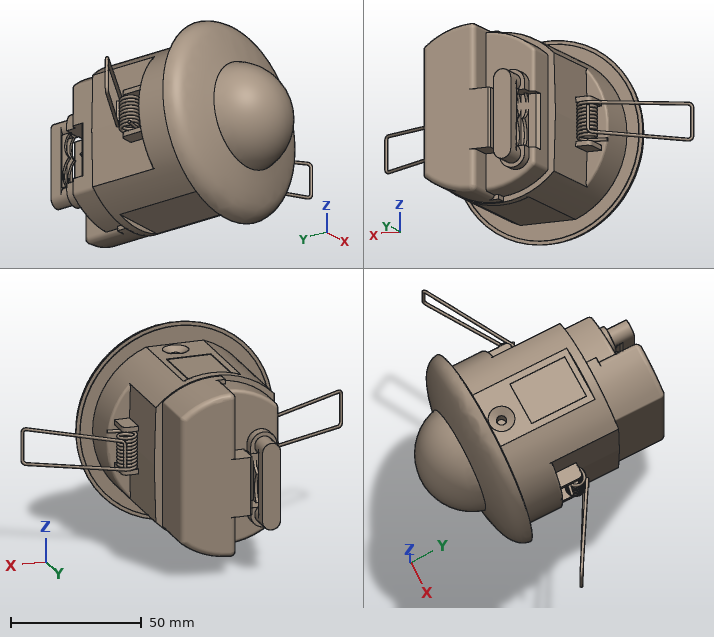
import cadquery as cq
import math


EMBED = 1.3

COVER_RADIUS = 40.0
COVER_DEPTH = 10.5
COVER_CURVE = ((38.7, -3.4), (33.5, -7.2))
COVER_LIP_RADIUS = 77.0 / 2
COVER_LIP = 0.4
LENS_RADIUS = 21.5
LENS_TIP = 27.0

DRUM_RADIUS = 67.0 / 2
DRUM_LENGTH = 45.6
RIM_START = 42.0
FLAT_HEIGHT = 31.4
SHELF = 17.0
SHELF_FILLET = 1.0
SIDE_RIDGE = 24.7
SIDE_EDGE = 24.0
SIDE_EDGE_HEIGHT = 23.3

LABEL_WIDTH = 17.9
LABEL_LENGTH = 23.7
LABEL_CENTER = 27.8
LABEL_DEPTH = 0.3
SCREW_X = 2.0
SCREW_Y = 6.7
SCREW_HOLE = 3.8
SCREW_HOLE_DEPTH = 6.5
DISH_DIAMETER = 10.2
DISH_ANGLE = 120

BRACKET_OUT = 30.6
BRACKET_LENGTH = 10.1
BRACKET_HALF_WIDTH = 9.7
BRACKET_EAR = 2.0
BRACKET_FILLET = 2.0

WIRE = 1.2
COIL_X = -28.2
COIL_Y = 24.8
COIL_RADIUS = 3.4
COIL_BOTTOM = -6.4
COIL_TOP = 7.0
COIL_FULL_TURNS = 9
TAIL_LENGTH = 7.2
TAIL_ANGLE = -79
LOOP_END_X = -(65.4 - WIRE / 2)
LOOP_END_Y = 8.1
LOOP_CORNER_Z = -7.2
LOOP_RETURN_Z = -4.7
HOOK_RADIUS = 4.5
HOOK_TOP = 5.8
LOOP_BEND = 1.6

LOW_RADIUS = 31.2
LOW_CORNER = 2.0
LOW_END = 57.7
LOW_LEFT = -21.6
LOW_FILLET = 1.5
TALL_RADIUS = 33.1
TALL_END = 67.6
TALL_LEFT = -0.9
TALL_RIGHT = 21.3
TALL_LEFT_CORNER = 2.1
TALL_RIGHT_CORNER = 1.0
TALL_FILLET = 2.2
FOOT_END = 50.0
FOOT_LEFT = -2.6
SIDE_BOX_LEFT = -7.3
SIDE_BOX_HALF_WIDTH = 11.8
SIDE_BOX_CHAMFER = 0.8

CLAMP_X = -14.0
CLAMP_Z = -5.0
CLAMP_SPACING = 27.8
CLAMP_WIDTH = 7.3
CLAMP_TOP = 70.6
CLAMP_BAR = 5.0
COLLAR_WIDTH = 10.6
COLLAR_TOP = 61.7
CABLE_NECK_Z = -4.2
UPPER_CABLE_Z = 0.7
LOWER_CABLE_Z = -10.7
OPENING_BAR_SIDE = (62.0, 64.3, 62.4, 65.2, 63.8)
OPENING_BLOCK_SIDE = (55.4, 53.5, 57.0, 54.9, 56.7)
NOTCH_TOP = 6.0
NOTCH_BOTTOM = -16.0
NOTCH_FLOOR = 52.3
NOTCH_BEVEL = 1.3
SADDLE_THICKNESS = 1.2
SADDLE_SPACING = 3.3
SADDLE_INSET = 0.5


def section(start):
    """Workplane across the housing axis; extrude with a negative length to go toward +Y."""
    return cq.Workplane("XZ", origin=(0, start, 0))


def disc(radius, start, end):
    return section(start).circle(radius).extrude(start - end)


def box(x0, x1, y0, y1, z0, z1):
    return cq.Workplane("XY").box(x1 - x0, y1 - y0, z1 - z0, centered=False).translate((x0, y0, z0))


def trimmed_disc(radius, left, right, start, end):
    """Disc slice kept between two planes of constant X."""
    return disc(radius, start, end).intersect(box(left, right, start, end, -radius, radius))


def make_cover():
    profile = (
        cq.Workplane("XY")
        .moveTo(0, COVER_LIP)
        .lineTo(COVER_LIP_RADIUS, COVER_LIP)
        .lineTo(COVER_LIP_RADIUS, 0)
        .lineTo(COVER_RADIUS, 0)
        .spline([*COVER_CURVE, (LENS_RADIUS, -COVER_DEPTH)], includeCurrent=True)
        .lineTo(0, -COVER_DEPTH)
        .close()
    )
    cover = profile.revolve(360, (0, 0, 0), (0, 1, 0))
    lens_height = LENS_TIP - COVER_DEPTH
    sphere_radius = (LENS_RADIUS**2 + lens_height**2) / (2 * lens_height)
    lens = cq.Workplane("XY").sphere(sphere_radius).translate((0, sphere_radius - LENS_TIP, 0))
    front = box(-COVER_RADIUS, COVER_RADIUS, -LENS_TIP, -COVER_DEPTH / 2, -COVER_RADIUS, COVER_RADIUS)
    return cover.union(lens.intersect(front))


def make_drum():
    collar = disc(DRUM_RADIUS, 0, SHELF).faces(">Y").edges().fillet(SHELF_FILLET)
    slope = (SIDE_RIDGE - SIDE_EDGE) / SIDE_EDGE_HEIGHT
    tip = SIDE_RIDGE - slope * DRUM_RADIUS
    outline = [
        (SIDE_RIDGE, 0),
        (tip, DRUM_RADIUS),
        (-tip, DRUM_RADIUS),
        (-SIDE_RIDGE, 0),
        (-tip, -DRUM_RADIUS),
        (tip, -DRUM_RADIUS),
    ]
    between_ridges = section(0).polyline(outline).close().extrude(-DRUM_LENGTH)
    drum = disc(DRUM_RADIUS, 0, DRUM_LENGTH).intersect(between_ridges).union(collar)
    for low, high in ((FLAT_HEIGHT, DRUM_RADIUS), (-DRUM_RADIUS, -FLAT_HEIGHT)):
        drum = drum.cut(box(-DRUM_RADIUS, DRUM_RADIUS, COVER_LIP, RIM_START, low, high))
    return drum


def cut_label_and_screw(body):
    flat = cq.Workplane("XY", origin=(0, 0, FLAT_HEIGHT))
    label = flat.center(0, LABEL_CENTER).rect(LABEL_WIDTH, LABEL_LENGTH).extrude(-LABEL_DEPTH)
    hole = flat.center(SCREW_X, SCREW_Y).circle(SCREW_HOLE / 2).extrude(-SCREW_HOLE_DEPTH)
    dish_depth = (DISH_DIAMETER - SCREW_HOLE) / 2 / math.tan(math.radians(DISH_ANGLE / 2))
    dish = cq.Workplane(
        cq.Solid.makeCone(
            DISH_DIAMETER / 2,
            SCREW_HOLE / 2,
            dish_depth,
            pnt=cq.Vector(SCREW_X, SCREW_Y, FLAT_HEIGHT),
            dir=cq.Vector(0, 0, -1),
        )
    )
    return body.cut(label).cut(hole).cut(dish)


def make_bracket():
    """Pair of ears on the -X side that flank the spring coil."""
    inner = -SIDE_EDGE + EMBED
    top = SHELF + BRACKET_LENGTH
    bracket = box(-BRACKET_OUT, inner, SHELF - EMBED, top, -BRACKET_HALF_WIDTH, BRACKET_HALF_WIDTH)
    bracket = bracket.edges("|Z and <X and >Y").fillet(BRACKET_FILLET)
    gap = BRACKET_HALF_WIDTH - BRACKET_EAR
    return bracket.cut(box(-BRACKET_OUT, inner, SHELF - EMBED, top, -gap, gap))


def bend(before, corner, after):
    """Start, middle and end of the arc that rounds a wire corner."""
    incoming = (before - corner).normalized()
    outgoing = (after - corner).normalized()
    half_angle = incoming.getAngle(outgoing) / 2
    tangent_length = LOOP_BEND / math.tan(half_angle)
    middle_distance = LOOP_BEND / math.sin(half_angle) - LOOP_BEND
    middle = corner + (incoming + outgoing).normalized() * middle_distance
    return corner + incoming * tangent_length, middle, corner + outgoing * tangent_length


def bent_path(corners):
    """Straight runs between the given corners, with every inner corner rounded."""
    edges = []
    start = corners[0]
    for before, corner, after in zip(corners, corners[1:], corners[2:]):
        arc = bend(before, corner, after)
        edges.append(cq.Edge.makeLine(start, arc[0]))
        edges.append(cq.Edge.makeThreePointArc(*arc))
        start = arc[2]
    edges.append(cq.Edge.makeLine(start, corners[-1]))
    return cq.Wire.assembleEdges(edges)


def round_wire(corners):
    start = corners[0]
    plane = cq.Plane(origin=start.toTuple(), normal=(corners[1] - start).toTuple())
    return cq.Workplane(plane).circle(WIRE / 2).sweep(cq.Workplane(bent_path(corners)))


def around_coil(radius, angle, z):
    return cq.Vector(COIL_X + radius * math.cos(angle), COIL_Y + radius * math.sin(angle), z)


def make_spring():
    """Spring on the -X side: a tail, a coil along Z and a loop whose free end hooks over the coil."""
    to_end_x = LOOP_END_X - COIL_X
    to_end_y = LOOP_END_Y - COIL_Y
    reach = math.hypot(to_end_x, to_end_y)
    tail_angle = math.radians(TAIL_ANGLE)
    loop_angle = math.atan2(to_end_y, to_end_x) - math.acos(COIL_RADIUS / reach) + 2 * math.pi
    turns = COIL_FULL_TURNS + (loop_angle - tail_angle) / (2 * math.pi)
    height = COIL_TOP - COIL_BOTTOM

    helix = cq.Wire.makeHelix(height / turns, height, COIL_RADIUS)
    coil = cq.Workplane("XZ", origin=(COIL_RADIUS, 0, 0)).circle(WIRE / 2)
    coil = coil.sweep(cq.Workplane(helix), isFrenet=True)
    coil = coil.rotate((0, 0, 0), (0, 0, 1), TAIL_ANGLE)
    coil = coil.translate((COIL_X, COIL_Y, COIL_BOTTOM))

    tail_start = around_coil(COIL_RADIUS, tail_angle, COIL_BOTTOM)
    tail_direction = cq.Vector(math.sin(tail_angle), -math.cos(tail_angle), 0)
    tail = round_wire([tail_start, tail_start + tail_direction * TAIL_LENGTH])

    loop = round_wire(
        [
            around_coil(COIL_RADIUS, loop_angle, COIL_TOP),
            cq.Vector(LOOP_END_X, LOOP_END_Y, COIL_TOP),
            cq.Vector(LOOP_END_X, LOOP_END_Y, LOOP_CORNER_Z),
            around_coil(HOOK_RADIUS, loop_angle, LOOP_RETURN_Z),
            around_coil(HOOK_RADIUS, loop_angle, HOOK_TOP),
        ]
    )
    return coil.union(tail, clean=False).union(loop, clean=False)


def make_rear_blocks():
    low = trimmed_disc(LOW_RADIUS, LOW_LEFT, TALL_RIGHT - TALL_FILLET, DRUM_LENGTH, LOW_END)
    low = low.edges("|Y and <X").fillet(LOW_CORNER)
    low = low.faces(">Y").edges().fillet(LOW_FILLET)
    tall = trimmed_disc(TALL_RADIUS, TALL_LEFT, TALL_RIGHT, DRUM_LENGTH, TALL_END)
    tall = tall.edges("|Y and <X").fillet(TALL_LEFT_CORNER)
    tall = tall.edges("|Y and >X").fillet(TALL_RIGHT_CORNER)
    tall = tall.faces(">Y").edges().fillet(TALL_FILLET)
    foot = trimmed_disc(TALL_RADIUS, FOOT_LEFT, TALL_RIGHT, DRUM_LENGTH, FOOT_END)
    foot = foot.edges("|Y and >X").fillet(TALL_RIGHT_CORNER)
    side_box = box(
        SIDE_BOX_LEFT,
        TALL_LEFT + TALL_FILLET,
        DRUM_LENGTH,
        TALL_END,
        CLAMP_Z - SIDE_BOX_HALF_WIDTH,
        CLAMP_Z + SIDE_BOX_HALF_WIDTH,
    )
    side_box = side_box.edges("|Z and <X and >Y").chamfer(SIDE_BOX_CHAMFER)
    return low.union(tall).union(foot).union(side_box)


def clamp_slot(width, start, end):
    """Upright stadium centred on the clamp."""
    slot = section(start).center(CLAMP_X, CLAMP_Z).slot2D(CLAMP_SPACING + width, width, 90)
    return slot.extrude(start - end)


def cable_passage():
    """Opening for two cables side by side, with a narrower neck between its two lobes."""
    levels = (NOTCH_TOP, UPPER_CABLE_Z, CABLE_NECK_Z, LOWER_CABLE_Z, NOTCH_BOTTOM)
    bar_side = list(zip(OPENING_BAR_SIDE, levels))
    block_side = list(zip(OPENING_BLOCK_SIDE, levels))
    outline = (
        cq.Workplane("YZ", origin=(LOW_LEFT, 0, 0))
        .moveTo(*bar_side[0])
        .threePointArc(bar_side[1], bar_side[2])
        .threePointArc(bar_side[3], bar_side[4])
        .lineTo(*block_side[4])
        .threePointArc(block_side[3], block_side[2])
        .threePointArc(block_side[1], block_side[0])
        .close()
    )
    return outline.extrude(SIDE_BOX_LEFT - LOW_LEFT)


def add_cable_clamp(blocks):
    bar_bottom = CLAMP_TOP - CLAMP_BAR
    notch = (
        cq.Workplane("XY", origin=(0, 0, NOTCH_BOTTOM))
        .moveTo(LOW_LEFT, NOTCH_FLOOR)
        .lineTo(LOW_LEFT + NOTCH_BEVEL, NOTCH_FLOOR + NOTCH_BEVEL)
        .lineTo(SIDE_BOX_LEFT, NOTCH_FLOOR + NOTCH_BEVEL)
        .lineTo(SIDE_BOX_LEFT, bar_bottom)
        .lineTo(LOW_LEFT, bar_bottom)
        .close()
        .extrude(NOTCH_TOP - NOTCH_BOTTOM)
    )
    blocks = blocks.union(clamp_slot(COLLAR_WIDTH, LOW_END - EMBED, COLLAR_TOP)).cut(notch)

    bar = clamp_slot(CLAMP_WIDTH, bar_bottom, CLAMP_TOP)
    for end in (-1, 1):
        leg = section(COLLAR_TOP - EMBED).center(CLAMP_X, CLAMP_Z + end * CLAMP_SPACING / 2)
        bar = bar.union(leg.circle(CLAMP_WIDTH / 2).extrude(COLLAR_TOP - EMBED - CLAMP_TOP))

    passage = cable_passage()
    clamp = blocks.union(bar.cut(passage))
    first_saddle = CLAMP_X - CLAMP_WIDTH / 2 + SADDLE_INSET
    for left in (first_saddle, first_saddle + SADDLE_SPACING):
        right = left + SADDLE_THICKNESS
        saddle = box(left, right, NOTCH_FLOOR, bar_bottom, NOTCH_BOTTOM, NOTCH_TOP)
        clamp = clamp.union(saddle.cut(passage))
    return clamp


body = make_drum().union(make_cover())
body = cut_label_and_screw(body)
body = body.union(add_cable_clamp(make_rear_blocks()))
side_mount = make_bracket().union(make_spring(), clean=False)
for turn in (0, 180):
    body = body.union(side_mount.rotate((0, 0, 0), (0, 1, 0), turn), clean=False)
result = body